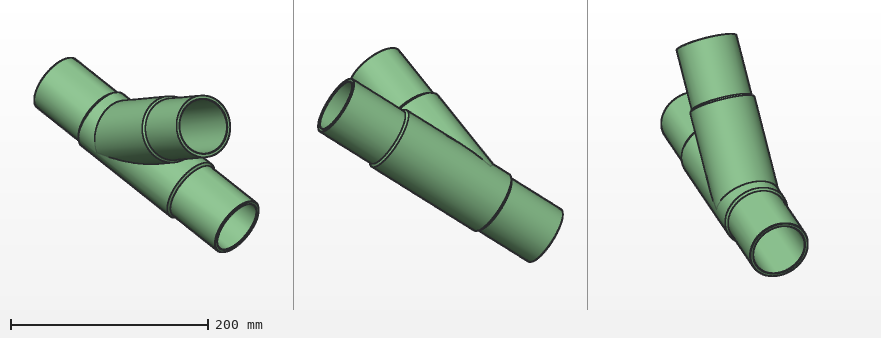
import cadquery as cq

bore_diameter = 55.3
spigot_diameter = 63.0
body_diameter = 67.5
shoulder_chamfer = (body_diameter - spigot_diameter) / 2
end_chamfer = 0.5

run_length = 262.0
run_body_length = 133.0

branch_angle = 45.0
branch_origin_x = -38.0
branch_length = 170.0
branch_body_length = 106.5


def cylinder_along_x(diameter, start, length):
    return cq.Workplane("YZ").workplane(offset=start).circle(diameter / 2).extrude(length)


def place_branch(shape):
    """Tilt a shape built along X up to the branch angle and move it to the branch origin."""
    tilted = shape.rotate((0, 0, 0), (0, 1, 0), -branch_angle)
    return tilted.translate((branch_origin_x, 0, 0))


def make_tube(start, length):
    tube = cylinder_along_x(spigot_diameter, start, length)
    return tube.cut(cylinder_along_x(bore_diameter, start, length))


def make_run():
    spigots = make_tube(-run_length / 2, run_length)
    spigots = spigots.faces("<X or >X").chamfer(end_chamfer)
    body = cylinder_along_x(body_diameter, -run_body_length / 2, run_body_length)
    body = body.faces("<X or >X").chamfer(shoulder_chamfer)
    return spigots.union(body)


def make_branch():
    spigot = make_tube(0, branch_length)
    spigot = spigot.faces(">X").edges(cq.selectors.RadiusNthSelector(0)).chamfer(end_chamfer)
    body = cylinder_along_x(body_diameter, 0, branch_body_length)
    body = body.faces(">X").chamfer(shoulder_chamfer)
    trim_size = 2 * body_diameter
    below_axis = cq.Workplane("XY").rect(2 * run_length, trim_size).extrude(-trim_size)
    return place_branch(spigot.union(body)).cut(below_axis)


run_bore = cylinder_along_x(bore_diameter, -run_length / 2, run_length)
branch_bore = place_branch(cylinder_along_x(bore_diameter, 0, branch_length))

result = make_run().union(make_branch()).cut(run_bore).cut(branch_bore)